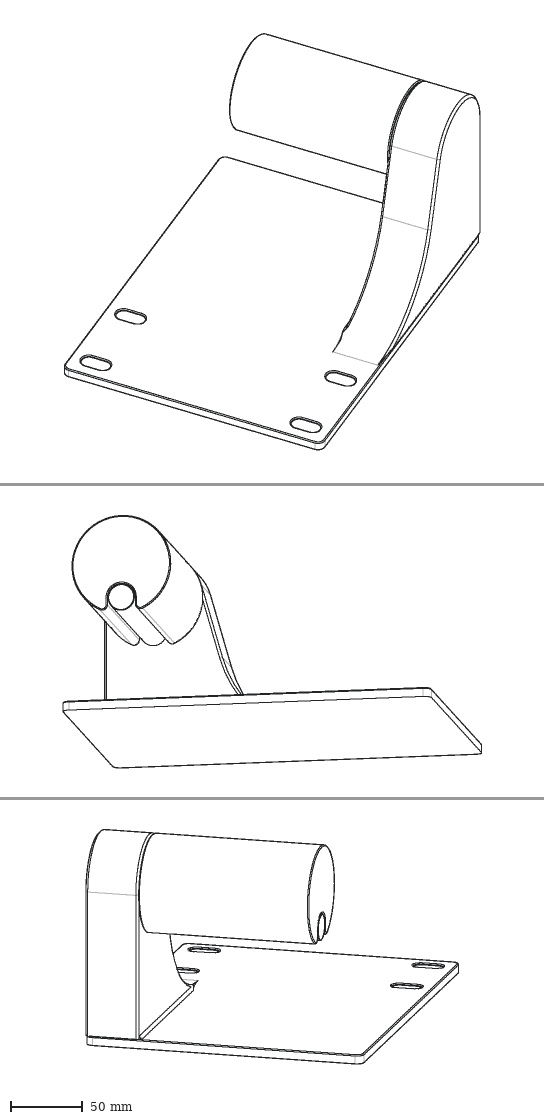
import cadquery as cq
import math

plate_x = 200.0
plate_y = 261.5
plate_z = 6.5
plate_corner_radius = 5.2
plate_edge_chamfer = 0.8

slot_length = 23.3
slot_width = 12.5
slot_depth = 1.3
slot_chamfer = 0.8
slot_side_inset = 19.0
slot_rows_y = (15.0, 72.0)

arm_face_x = 161.5
head_radius = 35.0
head_y = plate_y - head_radius
head_z = 110.5
slope_angle = math.radians(16)
foot_radius = 85.0
arm_inner_chamfer = 1.8
arm_outer_chamfer = 1.8
gusset_size = 2.0
gusset_end_y = 122.8
gusset_tip_y = 108.0

barrel_start_x = 38.7
barrel_end_chamfer = 0.8

pin_diameter = 18.5
pin_end_chamfer = 0.4
groove_diameter = 19.9
groove_lip_radius = 3.7
pin_drop = 23.3
pin_z = head_z - pin_drop


def make_plate():
    plate = (
        cq.Workplane("XY")
        .box(plate_x, plate_y, plate_z, centered=False)
        .edges("|Z").fillet(plate_corner_radius)
        .faces(">Z").edges().chamfer(plate_edge_chamfer)
    )
    centres = [(x, y) for x in (slot_side_inset, plate_x - slot_side_inset) for y in slot_rows_y]
    slots = (
        cq.Workplane("XY", origin=(0, 0, plate_z - slot_depth))
        .pushPoints(centres)
        .slot2D(slot_length - 2 * slot_chamfer, slot_width - 2 * slot_chamfer)
        .extrude(slot_depth)
    )
    bevels = (
        cq.Workplane("XY", origin=(0, 0, plate_z))
        .pushPoints(centres)
        .slot2D(slot_length, slot_width)
        .extrude(-slot_chamfer, taper=45)
    )
    return plate.cut(slots).cut(bevels)


def arm_blank(start_x, end_x):
    """Arm outline in the YZ plane, extruded along X and left sharp."""
    cos_a = math.cos(slope_angle)
    sin_a = math.sin(slope_angle)
    foot_z = plate_z + foot_radius
    foot_y = head_y - (head_radius + foot_radius - sin_a * (foot_z - head_z)) / cos_a
    slope_top = (head_y - head_radius * cos_a, head_z + head_radius * sin_a)
    slope_bottom = (foot_y + foot_radius * cos_a, foot_z - foot_radius * sin_a)
    half_turn = (math.pi / 2 + slope_angle) / 2
    foot_mid = (foot_y + foot_radius * math.sin(half_turn - slope_angle),
                foot_z - foot_radius * math.cos(half_turn - slope_angle))
    return (
        cq.Workplane("YZ", origin=(start_x, 0, 0))
        .moveTo(plate_y, plate_z)
        .lineTo(plate_y, head_z)
        .threePointArc((head_y, head_z + head_radius), slope_top)
        .lineTo(*slope_bottom)
        .threePointArc(foot_mid, (foot_y, plate_z))
        .close()
        .extrude(end_x - start_x)
    )


def make_gusset():
    """Bevel along the foot of the arm, with its front end tapering into the arm."""
    reach = 2 * gusset_size
    toe_x = arm_face_x - gusset_size
    wedge = (
        cq.Workplane("XZ", origin=(0, plate_y - arm_inner_chamfer, 0))
        .polyline([(toe_x, plate_z), (toe_x + reach, plate_z), (toe_x + reach, plate_z + reach)])
        .close()
        .extrude(plate_y - arm_inner_chamfer - gusset_tip_y)
    )
    plan = (
        cq.Workplane("XY")
        .polyline([(toe_x, plate_y), (toe_x, gusset_end_y), (toe_x + reach, gusset_tip_y),
                   (toe_x + reach, plate_y)])
        .close()
        .extrude(head_z)
    )
    return wedge.intersect(plan).intersect(arm_blank(toe_x, plate_x))


def make_arm():
    arm = arm_blank(arm_face_x, plate_x)
    above_foot = cq.selectors.BoxSelector(
        (0, 0, plate_z + arm_inner_chamfer),
        (plate_x * 2, plate_y * 2, head_z * 2),
    )
    arm = arm.faces("<X").edges(above_foot).chamfer(arm_inner_chamfer)
    arm = arm.faces(">X").edges(above_foot).chamfer(arm_outer_chamfer)
    return arm.union(make_gusset())


def x_cylinder(radius, start_x, end_x, centre_z):
    return (
        cq.Workplane("YZ", origin=(start_x, head_y, centre_z))
        .circle(radius)
        .extrude(end_x - start_x)
    )


def make_barrel():
    barrel = x_cylinder(head_radius, barrel_start_x, arm_face_x, head_z)
    groove = x_cylinder(groove_diameter / 2, barrel_start_x, arm_face_x, pin_z)
    mouth = (
        cq.Workplane("XY")
        .box(arm_face_x - barrel_start_x, groove_diameter, head_z, centered=(False, True, False))
        .translate((barrel_start_x, head_y, pin_z - head_z))
    )
    lips = cq.selectors.BoxSelector(
        (barrel_start_x, head_y - groove_diameter, 0),
        (arm_face_x, head_y + groove_diameter, pin_z - groove_diameter / 4),
    )
    barrel = barrel.cut(groove).cut(mouth)
    barrel = barrel.edges("|X").edges(lips).fillet(groove_lip_radius)
    return barrel.faces("<X or >X").edges().chamfer(barrel_end_chamfer)


def make_bracket():
    return make_plate().union(make_arm()).union(make_barrel())


def make_pin():
    pin = x_cylinder(pin_diameter / 2, barrel_start_x, arm_face_x, pin_z)
    return pin.faces("<X").chamfer(pin_end_chamfer)


bracket = make_bracket()
pin = make_pin()
result = cq.Compound.makeCompound([bracket.val(), pin.val()])